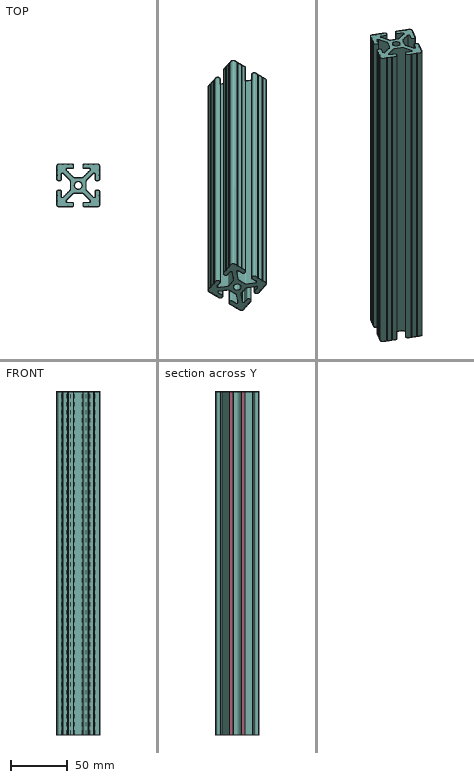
import cadquery as cq
import math

side = 38.1
length = 303.21

slot_opening = 8.13
slot_inner_width = 21.1
slot_corner_radius = 0.8
lip_thickness = 4.1
lip_outer_radius = 1.8
lip_inner_radius = 1.3

core_width = 13.9
core_fillet_radius = 2.0
web_thickness = 4.1
bore_diameter = 6.65

corner_radius = 2.4
groove_radius = 0.45
groove_offsets = (9.0, 13.7)

half_side = side / 2
half_opening = slot_opening / 2
half_inner = slot_inner_width / 2
lip_y = half_side - lip_thickness
core_y = core_width / 2
web_shift = web_thickness / math.sqrt(2)
wall_end_y = half_inner + web_shift
half_floor = core_y - web_shift


def make_bar():
    """Square bar with rounded corners, standing on Z = 0."""
    return cq.Workplane("XY").rect(side, side).extrude(length).edges("|Z").fillet(corner_radius)


def round_edge_pair(body, x, y, radius):
    """Round the two upright edges that stand at (x, y) and (-x, y)."""
    for edge_x in (x, -x):
        edge = cq.selectors.NearestToPointSelector((edge_x, y, length / 2))
        body = body.edges("|Z").edges(edge).fillet(radius)
    return body


def make_slot_cutter():
    """T-slot opening towards +Y, flared at the mouth to round the outer lip edges."""
    arc_inset = lip_outer_radius * (1 - math.sqrt(0.5))
    rim_x = half_opening + lip_outer_radius
    rim_y = half_side - lip_outer_radius
    arc_x = half_opening + arc_inset
    arc_y = half_side - arc_inset
    cutter = (
        cq.Workplane("XY")
        .moveTo(-rim_x, half_side)
        .threePointArc((-arc_x, arc_y), (-half_opening, rim_y))
        .lineTo(-half_opening, lip_y)
        .lineTo(-half_inner, lip_y)
        .lineTo(-half_inner, wall_end_y)
        .lineTo(-half_floor, core_y)
        .lineTo(half_floor, core_y)
        .lineTo(half_inner, wall_end_y)
        .lineTo(half_inner, lip_y)
        .lineTo(half_opening, lip_y)
        .lineTo(half_opening, rim_y)
        .threePointArc((arc_x, arc_y), (rim_x, half_side))
        .close()
        .extrude(length)
    )
    cutter = round_edge_pair(cutter, half_floor, core_y, core_fillet_radius)
    cutter = round_edge_pair(cutter, half_opening, lip_y, lip_inner_radius)
    return round_edge_pair(cutter, half_inner, lip_y, slot_corner_radius)


def make_groove_cutter(x):
    """Half-round groove in the +Y face, centred at the given X."""
    return cq.Workplane("XY").center(x, half_side).circle(groove_radius).extrude(length)


def cut_sides(body):
    """Cut the slot and its grooves into all four sides."""
    cutters = [make_slot_cutter()]
    for offset in groove_offsets:
        cutters.append(make_groove_cutter(offset))
        cutters.append(make_groove_cutter(-offset))
    for quarter_turn in range(4):
        for cutter in cutters:
            body = body.cut(cutter.rotate((0, 0, 0), (0, 0, 1), 90 * quarter_turn))
    return body


def cut_bore(body):
    """Round hole along the full length of the core."""
    return body.cut(cq.Workplane("XY").circle(bore_diameter / 2).extrude(length))


result = cut_bore(cut_sides(make_bar()))